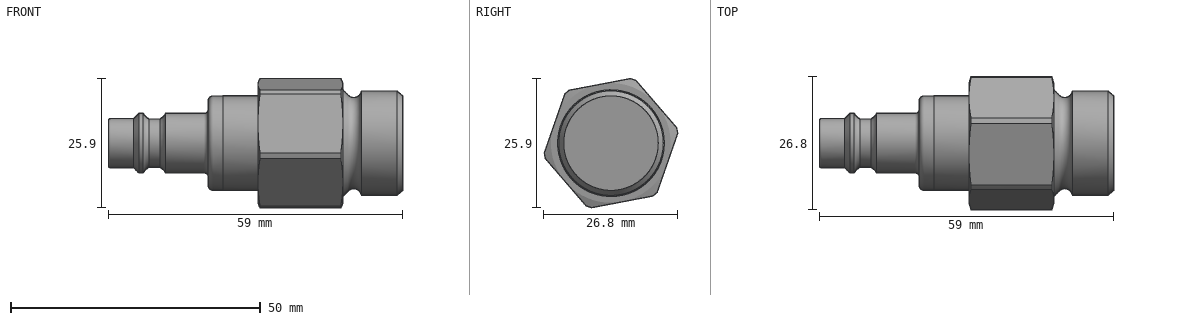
import cadquery as cq
import math

overall_length = 59.0

tip_radius = 9.9 / 2
tip_fillet = 0.45
collar_start = 5.1
collar_radius = 12.0 / 2
collar_land_start = collar_start + collar_radius - tip_radius
collar_land_end = 7.0
groove_radius = 9.75 / 2
groove_flank = collar_radius - groove_radius
groove_end = 11.5
groove_flank_hollow = 0.12

body_start = 20.0
body_radius = 19.0 / 2
body_nose_radius = 18.95 / 2
body_step = 23.0
body_nose_fillet = 1.0
body_root_fillet = 0.75

hex_start = 30.0
hex_end = 47.0
hex_across_flats = 24.0
hex_corner_radius = 27.05 / 2
hex_rotation = 10.78
hex_chamfer_angle = 15.0

end_radius = 20.95 / 2
end_face_radius = 18.95 / 2
end_chamfer_length = 1.15
relief_arc_radius = 1.5
relief_bottom_radius = 9.15
relief_wall = 50.75
relief_wall_angle = 25.0


def on_circle(center_x, center_r, radius, angle):
    """Profile point on a circle, with the angle in degrees from the X direction."""
    a = math.radians(angle)
    return (center_x + radius * math.cos(a), center_r + radius * math.sin(a))


def revolve_about_x(profile):
    return profile.close().revolve(360, (0, 0, 0), (1, 0, 0))


def make_plug():
    """Tip, sealing collar, groove, stem and round body up to the hexagon."""
    root_x = body_start - body_root_fillet
    root_r = collar_radius + body_root_fillet
    hollow_offset = groove_flank_hollow * math.sin(math.radians(45))
    flank_middle = groove_flank / 2 - hollow_offset
    flank_middle_radius = (collar_radius + groove_radius) / 2 - hollow_offset
    nose_x = body_start + body_nose_fillet
    nose_r = body_nose_radius - body_nose_fillet
    profile = (
        cq.Workplane("XY")
        .lineTo(0, tip_radius - tip_fillet)
        .threePointArc(
            on_circle(tip_fillet, tip_radius - tip_fillet, tip_fillet, 135),
            (tip_fillet, tip_radius),
        )
        .lineTo(collar_start, tip_radius)
        .lineTo(collar_land_start, collar_radius)
        .lineTo(collar_land_end, collar_radius)
        .threePointArc(
            (collar_land_end + flank_middle, flank_middle_radius),
            (collar_land_end + groove_flank, groove_radius),
        )
        .lineTo(groove_end - groove_flank, groove_radius)
        .threePointArc((groove_end - flank_middle, flank_middle_radius), (groove_end, collar_radius))
        .lineTo(root_x, collar_radius)
        .threePointArc(on_circle(root_x, root_r, body_root_fillet, -45), (body_start, root_r))
        .lineTo(body_start, nose_r)
        .threePointArc(on_circle(nose_x, nose_r, body_nose_fillet, 135), (nose_x, body_nose_radius))
        .lineTo(body_step, body_nose_radius)
        .lineTo(body_step, body_radius)
        .lineTo(hex_start, body_radius)
        .lineTo(hex_start, 0)
    )
    return revolve_about_x(profile)


def make_hexagon():
    """Hexagon with rounded corners and a conical chamfer on both ends."""
    length = hex_end - hex_start
    circumscribed_diameter = hex_across_flats / math.cos(math.radians(30))
    prism = (
        cq.Workplane("YZ", origin=(hex_start, 0, 0))
        .polygon(6, circumscribed_diameter)
        .extrude(length)
        .rotate((0, 0, 0), (1, 0, 0), hex_rotation)
    )
    face_radius = hex_across_flats / 2
    chamfer_length = (hex_corner_radius - face_radius) * math.tan(math.radians(hex_chamfer_angle))
    envelope = (
        cq.Workplane("XY")
        .moveTo(hex_start, 0)
        .lineTo(hex_start, face_radius)
        .lineTo(hex_start + chamfer_length, hex_corner_radius)
        .lineTo(hex_end - chamfer_length, hex_corner_radius)
        .lineTo(hex_end, face_radius)
        .lineTo(hex_end, 0)
    )
    return prism.intersect(revolve_about_x(envelope))


def make_large_end():
    """Relief groove behind the hexagon, followed by the chamfered large cylinder."""
    center_r = relief_bottom_radius + relief_arc_radius
    wall_dx, wall_dr = on_circle(0, 0, relief_arc_radius, -relief_wall_angle)
    wall_start_r = center_r + wall_dr
    wall_start_x = relief_wall - (end_radius - wall_start_r) * math.tan(math.radians(relief_wall_angle))
    center_x = wall_start_x - wall_dx
    tangent_x, tangent_r = on_circle(center_x, center_r, relief_arc_radius, -135)
    flank_start_r = tangent_r + tangent_x - hex_end
    profile = (
        cq.Workplane("XY")
        .moveTo(hex_end, 0)
        .lineTo(hex_end, flank_start_r)
        .lineTo(tangent_x, tangent_r)
        .threePointArc((center_x, relief_bottom_radius), (wall_start_x, wall_start_r))
        .lineTo(relief_wall, end_radius)
        .lineTo(overall_length - end_chamfer_length, end_radius)
        .lineTo(overall_length, end_face_radius)
        .lineTo(overall_length, 0)
    )
    return revolve_about_x(profile)


result = make_plug().union(make_hexagon()).union(make_large_end())